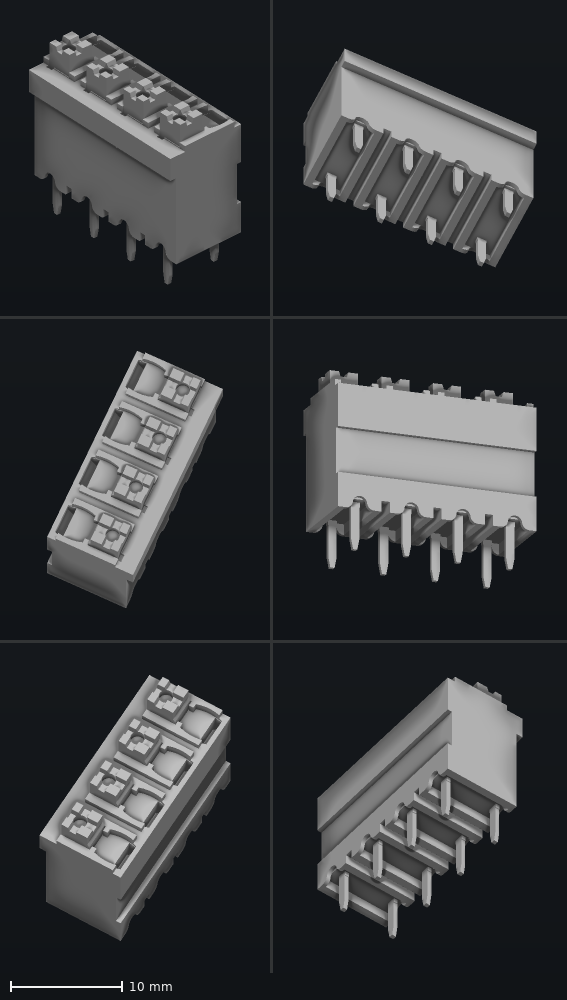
import cadquery as cq
import math

POLES = 4
LENGTH = 19.2
FRAME_LENGTH = 4.2
PITCH = (LENGTH - FRAME_LENGTH) / (POLES - 1)

DEPTH = 8.5
HOOD_TOP = 11.71
HOOD_HEIGHT = 2.38
HOOD_OVERHANG = 0.7
REAR_RECESS_DEPTH = 0.48
REAR_RECESS_BOTTOM = 3.26
REAR_RECESS_TOP = 7.6

FRAME_FRONT = 1.77
FRAME_REAR = 7.68
FRAME_TOP = HOOD_TOP + 0.61
POLE_CENTER = 2.1

ENTRY_FLOOR = HOOD_TOP - 0.3
ENTRY_REAR = 8.05
ENTRY_FRONT = 5.3
ENTRY_END_HALF_WIDTH = 1.38
ENTRY_MID_HALF_WIDTH = 1.61
NECK_WIDTH = 1.9
SHAFT_FRONT = 7.25
SHAFT_FRONT_HALF_WIDTH = 1.52
SHAFT_STRAIGHT_BOTTOM = HOOD_TOP - 1.25
SHAFT_BOTTOM = HOOD_TOP - 2.11
SHAFT_SLIT_HALF_WIDTH = 1.23
SHAFT_SLIT_DEPTH = 0.08

LEVER_WIDTH = 2.7
LEVER_FRONT = 1.85
LEVER_REAR = 4.55
LEVER_TOP = 14.23
LEVER_LEFT = POLE_CENTER - LEVER_WIDTH / 2
LEVER_RIGHT = POLE_CENTER + LEVER_WIDTH / 2
TAIL_REAR = 4.76
TAIL_TOP = 12.67
TAIL_SLOPE_TOP = 13.02
SLOT_CENTER_Y = 3.0
SLOT_TOP_WIDTH = 0.92
SLOT_BOTTOM_WIDTH = 0.61
SLOT_DEPTH = 0.48
TEST_HOLE_DIAMETER = 1.3
TEST_HOLE_DEPTH = 1.35

POCKET_SIDE_GAP = 0.08
POCKET_LEFT = LEVER_LEFT - POCKET_SIDE_GAP
POCKET_REAR = 4.82
LIP_TOP = HOOD_TOP + 0.1
NOTCH_FRONT = 1.48
NOTCH_WIDTH = 0.71

CAVITY_HEIGHT = 1.02
END_WALL = 0.4
ARCH_HEIGHT = 1.23
ARCH_RADIUS = 0.7

PIN_ROWS = (1.57, 7.12)
PIN_THICKNESS = 0.42
PIN_WIDTH = 0.8
PIN_TIP_WIDTH = 0.4
PIN_LENGTH = 3.48
PIN_TAPER_LENGTH = 1.0
PIN_TAPER_RADIUS = 1.08
PIN_SHOULDER_WIDTH = 0.9
PIN_SHOULDER_BOTTOM = 0.54


def block(x0, x1, y0, y1, z0, z1):
    """Box between two corners."""
    return cq.Workplane("XY").box(x1 - x0, y1 - y0, z1 - z0, centered=False).translate((x0, y0, z0))


def housing_shell():
    """Side outline with the front hood and the rear recess, extruded along the row."""
    recess_y = DEPTH - REAR_RECESS_DEPTH
    hood_bottom = HOOD_TOP - HOOD_HEIGHT
    outline = [
        (HOOD_OVERHANG, 0),
        (DEPTH, 0),
        (DEPTH, REAR_RECESS_BOTTOM),
        (recess_y, REAR_RECESS_BOTTOM),
        (recess_y, REAR_RECESS_TOP),
        (DEPTH, REAR_RECESS_TOP),
        (DEPTH, HOOD_TOP),
        (0, HOOD_TOP),
        (0, hood_bottom),
        (HOOD_OVERHANG, hood_bottom),
    ]
    return cq.Workplane("YZ").polyline(outline).close().extrude(LENGTH)


def frame():
    return block(0, FRAME_LENGTH, FRAME_FRONT, FRAME_REAR, HOOD_TOP, FRAME_TOP)


def wire_entry():
    """Shallow barrel-shaped recess, with a neck that leads to the lever pocket."""
    mid_y = (ENTRY_FRONT + ENTRY_REAR) / 2
    end_left = POLE_CENTER - ENTRY_END_HALF_WIDTH
    end_right = POLE_CENTER + ENTRY_END_HALF_WIDTH
    barrel = (
        cq.Workplane("XY", origin=(0, 0, ENTRY_FLOOR))
        .moveTo(end_left, ENTRY_FRONT)
        .lineTo(end_right, ENTRY_FRONT)
        .threePointArc((POLE_CENTER + ENTRY_MID_HALF_WIDTH, mid_y), (end_right, ENTRY_REAR))
        .lineTo(end_left, ENTRY_REAR)
        .threePointArc((POLE_CENTER - ENTRY_MID_HALF_WIDTH, mid_y), (end_left, ENTRY_FRONT))
        .close()
        .extrude(FRAME_TOP - ENTRY_FLOOR)
    )
    neck_left = POLE_CENTER - NECK_WIDTH / 2
    neck = block(neck_left, neck_left + NECK_WIDTH, POCKET_REAR, ENTRY_FRONT, ENTRY_FLOOR, FRAME_TOP)
    return barrel.union(neck)


def wire_shaft():
    """Shaft along the rear of the wire entry: straight at first, then narrowing to a slit."""
    mouth = [
        (POLE_CENTER - ENTRY_END_HALF_WIDTH, ENTRY_REAR),
        (POLE_CENTER + ENTRY_END_HALF_WIDTH, ENTRY_REAR),
        (POLE_CENTER + SHAFT_FRONT_HALF_WIDTH, SHAFT_FRONT),
        (POLE_CENTER - SHAFT_FRONT_HALF_WIDTH, SHAFT_FRONT),
    ]
    slit = [
        (POLE_CENTER - SHAFT_SLIT_HALF_WIDTH, SHAFT_FRONT),
        (POLE_CENTER + SHAFT_SLIT_HALF_WIDTH, SHAFT_FRONT),
        (POLE_CENTER + SHAFT_SLIT_HALF_WIDTH, SHAFT_FRONT - SHAFT_SLIT_DEPTH),
        (POLE_CENTER - SHAFT_SLIT_HALF_WIDTH, SHAFT_FRONT - SHAFT_SLIT_DEPTH),
    ]
    straight = (
        cq.Workplane("XY", origin=(0, 0, SHAFT_STRAIGHT_BOTTOM))
        .polyline(mouth)
        .close()
        .extrude(ENTRY_FLOOR - SHAFT_STRAIGHT_BOTTOM)
    )
    narrowing = (
        cq.Workplane("XY", origin=(0, 0, SHAFT_STRAIGHT_BOTTOM))
        .polyline(mouth)
        .close()
        .workplane(offset=SHAFT_BOTTOM - SHAFT_STRAIGHT_BOTTOM)
        .polyline(slit)
        .close()
        .loft(ruled=True)
    )
    return straight.union(narrowing)


def lever_pocket():
    """Room for the lever, open to the front above the lip, with a notch at the left corner."""
    room = block(POCKET_LEFT, LEVER_RIGHT, LEVER_FRONT, POCKET_REAR, ENTRY_FLOOR, FRAME_TOP)
    opening = block(POCKET_LEFT, LEVER_RIGHT, FRAME_FRONT, LEVER_FRONT, LIP_TOP, FRAME_TOP)
    notch = block(
        POCKET_LEFT, POCKET_LEFT + NOTCH_WIDTH, NOTCH_FRONT, LEVER_FRONT, ENTRY_FLOOR, FRAME_TOP
    )
    return room.union(opening).union(notch)


def foot_offset():
    """Distance along X from the pole centre to the centre of an arch foot."""
    rise = ARCH_HEIGHT - 2 * ARCH_RADIUS
    return math.sqrt((2 * ARCH_RADIUS) ** 2 - rise ** 2)


def arch(y0, y1):
    """Bell-shaped opening: a crown arc that runs tangent into a foot arc on each side."""
    foot = foot_offset()
    crown_z = ARCH_HEIGHT - ARCH_RADIUS
    joint_x = foot / 2
    joint_z = (crown_z + ARCH_RADIUS) / 2
    half_turn = math.atan2(joint_x, ARCH_RADIUS - joint_z) / 2
    mid_x = foot - ARCH_RADIUS * math.sin(half_turn)
    mid_z = ARCH_RADIUS - ARCH_RADIUS * math.cos(half_turn)
    return (
        cq.Workplane("XZ", origin=(POLE_CENTER, y0, 0))
        .moveTo(-foot, 0)
        .threePointArc((-mid_x, mid_z), (-joint_x, joint_z))
        .threePointArc((0, ARCH_HEIGHT), (joint_x, joint_z))
        .threePointArc((mid_x, mid_z), (foot, 0))
        .close()
        .extrude(y0 - y1)
    )


def underside_cavity():
    """Hollow around the pins, with an arch through the front wall and one through the rear wall."""
    inner_front = HOOD_OVERHANG + END_WALL
    inner_rear = DEPTH - END_WALL
    foot = foot_offset()
    hollow = block(POLE_CENTER - foot, POLE_CENTER + foot, inner_front, inner_rear, 0, CAVITY_HEIGHT)
    return hollow.union(arch(HOOD_OVERHANG, inner_front)).union(arch(inner_rear, DEPTH))


def pin(y_center):
    """Flat pin with a shoulder at the housing and a tapered tip."""
    half_width = PIN_WIDTH / 2
    half_tip = PIN_TIP_WIDTH / 2
    half_shoulder = PIN_SHOULDER_WIDTH / 2
    taper_top = PIN_TAPER_LENGTH - PIN_LENGTH
    right_side = [
        (half_tip, -PIN_LENGTH),
        (half_width, taper_top),
        (half_width, PIN_SHOULDER_BOTTOM),
        (half_shoulder, PIN_SHOULDER_BOTTOM),
        (half_shoulder, CAVITY_HEIGHT),
    ]
    left_side = [(-x, z) for x, z in reversed(right_side)]
    blade = (
        cq.Workplane("XZ", origin=(POLE_CENTER, y_center + PIN_THICKNESS / 2, 0))
        .polyline(right_side + left_side)
        .close()
        .extrude(PIN_THICKNESS)
    )
    margin = 0.02
    taper_corners = cq.selectors.BoxSelector(
        (0, 0, taper_top - margin), (FRAME_LENGTH, DEPTH, taper_top + margin)
    )
    return blade.edges("|Y").edges(taper_corners).fillet(PIN_TAPER_RADIUS)


def pole_gap():
    """Notch across the underside between two neighbouring poles."""
    return block(FRAME_LENGTH, PITCH, HOOD_OVERHANG, DEPTH, 0, CAVITY_HEIGHT)


def make_housing():
    body = housing_shell()
    for pole in range(POLES):
        shift = (pole * PITCH, 0, 0)
        body = body.union(frame().translate(shift))
        for pocket in (wire_entry(), wire_shaft(), lever_pocket(), underside_cavity()):
            body = body.cut(pocket.translate(shift))
        for row in PIN_ROWS:
            body = body.union(pin(row).translate(shift))
    for gap in range(POLES - 1):
        body = body.cut(pole_gap().translate((gap * PITCH, 0, 0)))
    return body


def screwdriver_slot(plane, origin, length):
    """Slot with sloping sides, sunk into the lever top along the normal of the plane."""
    half_top = SLOT_TOP_WIDTH / 2
    half_bottom = SLOT_BOTTOM_WIDTH / 2
    section = [(-half_top, 0), (half_top, 0), (half_bottom, -SLOT_DEPTH), (-half_bottom, -SLOT_DEPTH)]
    return cq.Workplane(plane, origin=origin).polyline(section).close().extrude(length, both=True)


def make_lever(pole):
    """Lever with a sloping tail, two crossed slots and a test hole in its top."""
    outline = [
        (LEVER_FRONT, ENTRY_FLOOR),
        (TAIL_REAR, ENTRY_FLOOR),
        (TAIL_REAR, TAIL_TOP),
        (LEVER_REAR, TAIL_SLOPE_TOP),
        (LEVER_REAR, LEVER_TOP),
        (LEVER_FRONT, LEVER_TOP),
    ]
    lever = (
        cq.Workplane("YZ", origin=(LEVER_LEFT, 0, 0)).polyline(outline).close().extrude(LEVER_WIDTH)
    )
    cross = (POLE_CENTER, SLOT_CENTER_Y, LEVER_TOP)
    lever = lever.cut(screwdriver_slot("YZ", cross, LEVER_WIDTH))
    lever = lever.cut(screwdriver_slot("XZ", cross, LEVER_WIDTH))
    hole = cq.Workplane("XY", origin=cross).circle(TEST_HOLE_DIAMETER / 2).extrude(-TEST_HOLE_DEPTH)
    return lever.cut(hole).translate((pole * PITCH, 0, 0))


housing = make_housing()
levers = [make_lever(pole) for pole in range(POLES)]

result = cq.Compound.makeCompound([housing.val(), *[lever.val() for lever in levers]])